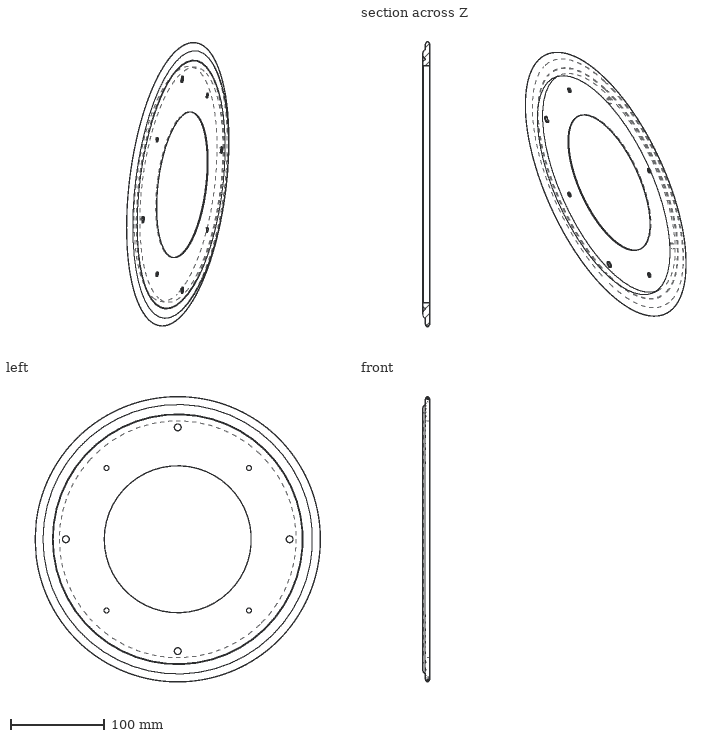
import cadquery as cq
import math

outer_radius = 153.2
total_depth = 8.0
bore_radius = 157.5 / 2

step_height = 2.8
plate_thickness = 1.2
plate_flat_radius = 130.0
plate_edge_round = 4.0
recess_radius = 127.2

bead_inner_radius = 134.5
bead_outer_radius = 144.5

rim_middle = (step_height + total_depth) / 2
rim_round_width = 6.0
rim_shoulder_inset = 0.5
rim_shoulder_radius = 151.5
rim_round_start = outer_radius - rim_round_width

large_hole_diameter = 7.0
large_hole_circle_radius = 120.0
small_hole_diameter = 5.2
small_hole_circle_radius = 108.2
holes_per_circle = 4


def plate_edge_point(depth):
    """Point on the rounded plate edge at a given depth below the plate face."""
    run = math.sqrt(plate_edge_round**2 - (plate_edge_round - depth) ** 2)
    return (depth, plate_flat_radius + run)


def make_disc():
    """Revolve the half section, drawn as (x, radius), about the X axis."""
    bead_middle_radius = (bead_inner_radius + bead_outer_radius) / 2
    rim_curve = [
        (step_height + rim_shoulder_inset, rim_shoulder_radius),
        (rim_middle, outer_radius),
        (total_depth - rim_shoulder_inset, rim_shoulder_radius),
        (total_depth, rim_round_start),
    ]
    section = (
        cq.Workplane("XY")
        .moveTo(0, bore_radius)
        .lineTo(0, plate_flat_radius)
        .threePointArc(plate_edge_point(step_height / 3), plate_edge_point(step_height))
        .lineTo(step_height, bead_inner_radius)
        .threePointArc((0, bead_middle_radius), (step_height, bead_outer_radius))
        .lineTo(step_height, rim_round_start)
        .spline(rim_curve, tangents=[(0, 1), (0, -1)], includeCurrent=True)
        .lineTo(total_depth, recess_radius)
        .lineTo(plate_thickness, recess_radius)
        .lineTo(plate_thickness, bore_radius)
        .close()
    )
    return section.revolve(360, (0, 0, 0), (1, 0, 0))


def make_hole_circle(diameter, circle_radius, start_angle):
    """Cutters for equally spaced holes running through the disc along X."""
    return (
        cq.Workplane("YZ")
        .polarArray(circle_radius, start_angle, 360, holes_per_circle)
        .circle(diameter / 2)
        .extrude(total_depth)
    )


large_holes = make_hole_circle(large_hole_diameter, large_hole_circle_radius, 0)
small_holes = make_hole_circle(small_hole_diameter, small_hole_circle_radius, 45)

result = make_disc().cut(large_holes).cut(small_holes)